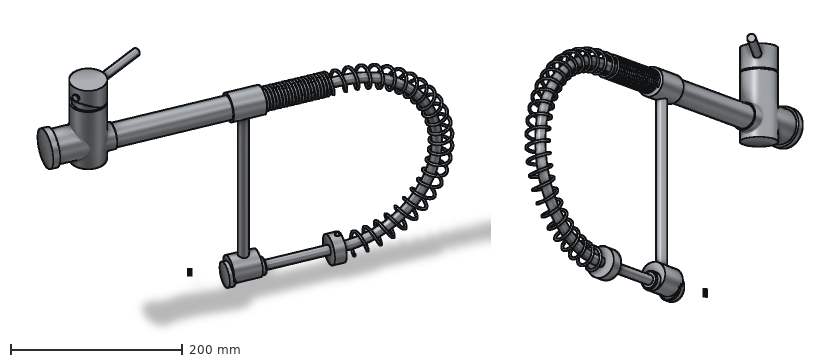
import cadquery as cq
import math


COLUMN_DIAMETER = 44.5
COLUMN_RADIUS = COLUMN_DIAMETER / 2
JOINT_FILLET = 2.5
COLUMN_BOTTOM = -28.0
COLUMN_TOP = 54.5
NECK_RADIUS = 19.5
NECK_HEIGHT = 12.5
INLET_RADIUS = 21.5
FLANGE_RADIUS = 24.5
FLANGE_THICKNESS = 8.5
INLET_END = -54.0

CAP_GAP = 1.5
CAP_TOP = 85.0
CAP_CUT_ANGLE = 25.0
CAP_CUT_START = 1.5
LEVER_ANGLE = 30.0
LEVER_Z = 72.5
LEVER_RADIUS = 5.0
LEVER_REACH = 92.0
BUTTON_RADIUS = 4.35
BUTTON_HEIGHT = 2.0

SPOUT_Z = -3.85
SPOUT_RADIUS = 15.0
BOSS_RADIUS = 16.5
BOSS_END = 30.0
COLLAR_RADIUS = 18.0
COLLAR_START = 176.5
COLLAR_END = 218.0

ARM_RADIUS = 6.5
ARM_Y = 195.5
HOLDER_Z = -238.0
HOLDER_RADIUS = 17.5
HOLDER_START = 177.0
HOLDER_END = 212.5

SPRAY_Z = -244.0
HOSE_RADIUS = 6.0
HOSE_BEND_Y = 319.0
RING_RADIUS = 19.0
RING_START = 303.0
RING_END = 318.0
STUD_RADIUS = 3.0
STUD_HEIGHT = 1.0
STUD_Y = 313.5
NUT_RADIUS = 11.5
NUT_LENGTH = 8.0
NUT_CHAMFER = 1.5
NOZZLE_RADIUS = 16.0
NOZZLE_START = 171.5
NOZZLE_LENGTH = 8.5
NOZZLE_CHAMFER = 1.5
BEND_RADIUS = (SPOUT_Z - SPRAY_Z) / 2
BEND_Z = (SPOUT_Z + SPRAY_Z) / 2

WIRE_RADIUS = 1.5
COIL_RADIUS = SPOUT_RADIUS - WIRE_RADIUS
COIL_BEND_Y = 324.0
COIL_START = COLLAR_END + WIRE_RADIUS
COIL_END_GAP = 6.0
COIL_END = COIL_BEND_Y + math.pi * BEND_RADIUS - COIL_END_GAP
TIGHT_TURNS = 20.5
TIGHT_PITCH = 4.0
LOOSE_TURNS = 25.0
LOOSE_PITCH = (COIL_END - COIL_START - TIGHT_TURNS * TIGHT_PITCH) / LOOSE_TURNS
POINTS_PER_TURN = 12
COIL_PHASE = -36.0

CLIP_X = -20.0
CLIP_Y = 136.0
CLIP_WIDTH = 4.5
CLIP_HEIGHT = 9.0
CLIP_THICKNESS = 1.5
CLIP_BAR = 1.5


def rod_along_y(radius, start, end, z):
    """Round rod along Y between two Y values, at height z."""
    return cq.Workplane("XZ", origin=(0, end, z)).circle(radius).extrude(end - start)


def rod_along_z(radius, bottom, top, y=0):
    """Upright round rod between two Z values."""
    return cq.Workplane("XY", origin=(0, y, bottom)).circle(radius).extrude(top - bottom)


def make_neck():
    """Reduced top of the column that the handle cap fits over."""
    return rod_along_z(NECK_RADIUS, COLUMN_TOP, COLUMN_TOP + NECK_HEIGHT)


def make_faucet(sprayer):
    """Column, wall inlet, spout, support arm and spray holder in one piece."""
    column = rod_along_z(COLUMN_RADIUS, COLUMN_BOTTOM, COLUMN_TOP)
    inlet = rod_along_y(INLET_RADIUS, INLET_END, 0, 0)
    flange = rod_along_y(FLANGE_RADIUS, INLET_END, INLET_END + FLANGE_THICKNESS, 0)
    boss = rod_along_y(BOSS_RADIUS, 0, BOSS_END, SPOUT_Z)
    spout = rod_along_y(SPOUT_RADIUS, 0, COLLAR_END, SPOUT_Z)
    collar = rod_along_y(COLLAR_RADIUS, COLLAR_START, COLLAR_END, SPOUT_Z)
    arm = rod_along_z(ARM_RADIUS, HOLDER_Z, SPOUT_Z, ARM_Y)
    holder = rod_along_y(HOLDER_RADIUS, HOLDER_START, HOLDER_END, HOLDER_Z)
    faucet = column.union(inlet).union(boss).edges("%BSPLINE").fillet(JOINT_FILLET)
    for piece in (make_neck(), flange, spout, collar, arm, holder):
        faucet = faucet.union(piece)
    return faucet.cut(sprayer)


def make_handle():
    """Cap with its lever, modelled with the lever along +Y and then turned about Z."""
    cap_bottom = COLUMN_TOP + CAP_GAP
    cap = rod_along_z(COLUMN_RADIUS, cap_bottom, CAP_TOP)
    lever = rod_along_y(LEVER_RADIUS, 0, LEVER_REACH, LEVER_Z)
    handle = cap.union(lever).cut(make_neck())
    run = 2 * COLUMN_RADIUS
    rise = run * math.tan(math.radians(CAP_CUT_ANGLE))
    relief = (
        cq.Workplane("YZ", origin=(-run, 0, 0))
        .moveTo(-CAP_CUT_START, cap_bottom)
        .lineTo(-CAP_CUT_START - run, cap_bottom)
        .lineTo(-CAP_CUT_START - run, cap_bottom + rise)
        .close()
        .extrude(2 * run)
    )
    button = rod_along_y(BUTTON_RADIUS, -COLUMN_RADIUS - BUTTON_HEIGHT, -NECK_RADIUS, LEVER_Z)
    handle = handle.cut(relief).union(button)
    return handle.rotate((0, 0, 0), (0, 0, 1), LEVER_ANGLE)


def make_sprayer():
    """Hose bent from the spout collar back to the spray head, with ring, stud, nut and nozzle."""
    hose_path = (
        cq.Workplane("YZ")
        .moveTo(COLLAR_END, SPOUT_Z)
        .lineTo(HOSE_BEND_Y, SPOUT_Z)
        .threePointArc((HOSE_BEND_Y + BEND_RADIUS, BEND_Z), (HOSE_BEND_Y, SPRAY_Z))
        .lineTo(NOZZLE_START, SPRAY_Z)
    )
    hose = cq.Workplane("XZ", origin=(0, COLLAR_END, SPOUT_Z)).circle(HOSE_RADIUS).sweep(hose_path)
    ring = rod_along_y(RING_RADIUS, RING_START, RING_END, SPRAY_Z)
    stud = rod_along_z(STUD_RADIUS, SPRAY_Z, SPRAY_Z + RING_RADIUS + STUD_HEIGHT, STUD_Y)
    nut = rod_along_y(NUT_RADIUS, HOLDER_END, HOLDER_END + NUT_LENGTH, SPRAY_Z)
    nut = nut.faces(">Y").chamfer(NUT_CHAMFER)
    nozzle = rod_along_y(NOZZLE_RADIUS, NOZZLE_START, NOZZLE_START + NOZZLE_LENGTH, SPRAY_Z)
    nozzle = nozzle.faces(">Y").chamfer(NOZZLE_CHAMFER)
    return hose.union(ring).union(stud).union(nut).union(nozzle)


def coil_point(turn):
    """Point on the wire centreline after a number of turns from the spout end.

    The coil axis runs straight along Y and then follows a half circle in the YZ plane.
    """
    tight_turns = min(turn, TIGHT_TURNS)
    loose_turns = turn - tight_turns
    along_path = COIL_START + tight_turns * TIGHT_PITCH + loose_turns * LOOSE_PITCH
    bend_angle = max(along_path - COIL_BEND_Y, 0) / BEND_RADIUS
    straight_y = min(along_path, COIL_BEND_Y)
    turn_angle = math.radians(COIL_PHASE) + 2 * math.pi * turn
    side = -COIL_RADIUS * math.cos(turn_angle)
    distance = BEND_RADIUS + COIL_RADIUS * math.sin(turn_angle)
    return cq.Vector(
        side,
        straight_y + distance * math.sin(bend_angle),
        BEND_Z + distance * math.cos(bend_angle),
    )


def make_spring():
    """Wire wound tightly behind the collar, then loosely round the hose bend."""
    turns = TIGHT_TURNS + LOOSE_TURNS
    count = round(turns * POINTS_PER_TURN)
    points = [coil_point(i / POINTS_PER_TURN) for i in range(count + 1)]
    centreline = cq.Edge.makeSpline(points)
    stretches = round(turns)
    start, end = centreline.bounds()
    step = (end - start) / stretches
    path = cq.Wire.assembleEdges(
        [centreline.trim(start + i * step, start + (i + 1) * step) for i in range(stretches)]
    )
    start_plane = cq.Plane(origin=centreline.startPoint(), normal=centreline.tangentAt(0))
    return cq.Workplane(start_plane).circle(WIRE_RADIUS).sweep(cq.Workplane(path), isFrenet=True)


def make_clip():
    """Small flat frame with two windows."""
    window_height = (CLIP_HEIGHT - 3 * CLIP_BAR) / 2
    window_width = CLIP_WIDTH - 2 * CLIP_BAR
    window_pitch = window_height + CLIP_BAR
    clip = cq.Workplane("XY").box(CLIP_THICKNESS, CLIP_WIDTH, CLIP_HEIGHT)
    clip = (
        clip.faces(">X").workplane(centerOption="CenterOfBoundBox")
        .rarray(5, window_pitch, 1, 2)
        .rect(window_width, window_height)
        .cutThruAll()
    )
    return clip.rotate((0, 0, 0), (0, 0, 1), -LEVER_ANGLE).translate((CLIP_X, CLIP_Y, SPRAY_Z))


sprayer = make_sprayer()
faucet = make_faucet(sprayer)
handle = make_handle()
spring = make_spring()
clip = make_clip()

bodies = [faucet, handle, sprayer, spring, clip]
result = cq.Compound.makeCompound([body.solids().val() for body in bodies])